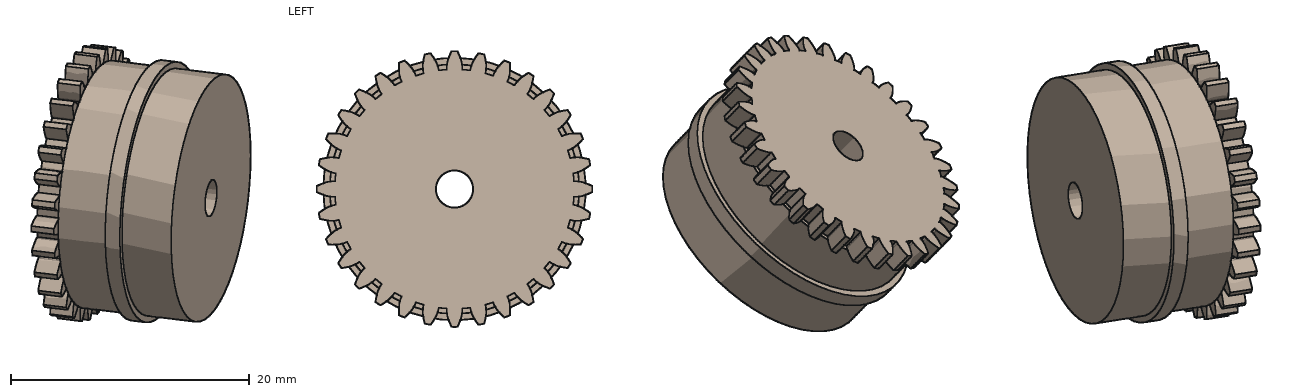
import cadquery as cq
import math

outside_diameter = 23.1
tooth_count = 32
pressure_angle = math.radians(20)
dedendum_factor = 1.25
gear_width = 2.0
flank_steps = 6

total_length = 12.0
hub_diameter = 20.9
collar_diameter = 22.0
collar_width = 1.3
bore_diameter = 3.1

module = outside_diameter / (tooth_count + 2)
tip_radius = outside_diameter / 2
pitch_radius = module * tooth_count / 2
root_radius = pitch_radius - dedendum_factor * module
base_radius = pitch_radius * math.cos(pressure_angle)
tooth_pitch = 2 * math.pi / tooth_count

collar_start = gear_width + (total_length - gear_width - collar_width) / 2


def polar(radius, angle):
    """Point in the gear plane, with the angle measured from the local x direction."""
    return (radius * math.cos(angle), radius * math.sin(angle))


def involute(angle):
    return math.tan(angle) - angle


def half_tooth_angle(radius):
    """Half the angle a tooth covers at a radius on or outside the base circle."""
    roll_angle = math.acos(min(1.0, base_radius / radius))
    return tooth_pitch / 4 + involute(pressure_angle) - involute(roll_angle)


def gear_rim():
    """Toothed disc; flanks are involutes above the base circle and radial below it."""
    step = (tip_radius - base_radius) / flank_steps
    flank_radii = [base_radius + i * step for i in range(flank_steps + 1)]
    base_half_angle = half_tooth_angle(base_radius)

    outline = cq.Workplane("YZ").moveTo(*polar(root_radius, -base_half_angle))
    for tooth in range(tooth_count):
        center = tooth * tooth_pitch
        rising_flank = [polar(r, center - half_tooth_angle(r)) for r in flank_radii]
        falling_flank = [polar(r, center + half_tooth_angle(r)) for r in reversed(flank_radii)]
        gap_middle = polar(root_radius, center + tooth_pitch / 2)
        next_tooth_foot = polar(root_radius, center + tooth_pitch - base_half_angle)

        outline = outline.lineTo(*rising_flank[0])
        outline = outline.spline(rising_flank[1:], includeCurrent=True)
        outline = outline.threePointArc(polar(tip_radius, center), falling_flank[0])
        outline = outline.spline(falling_flank[1:], includeCurrent=True)
        outline = outline.lineTo(*polar(root_radius, center + base_half_angle))
        outline = outline.threePointArc(gap_middle, next_tooth_foot)
    return outline.close().extrude(gear_width)


def disc(start, width, diameter):
    return cq.Workplane("YZ").workplane(offset=start).circle(diameter / 2).extrude(width)


hub = disc(gear_width, total_length - gear_width, hub_diameter)
collar = disc(collar_start, collar_width, collar_diameter)
bore = disc(0, total_length, bore_diameter)

result = gear_rim().union(hub).union(collar).cut(bore)